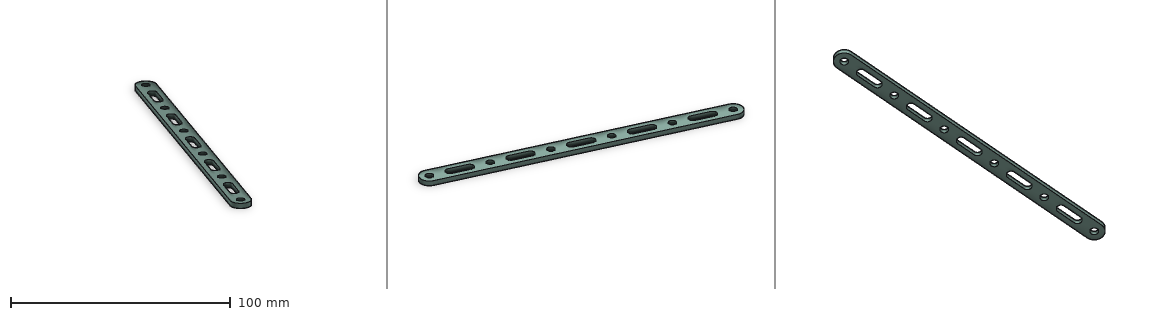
import cadquery as cq

length = 160.0
width = 10.0
thickness = 2.5
hole_diameter = 3.8
hole_count = 6
slot_length = 14.0
slot_width = 4.3

slot_count = hole_count - 1
pitch = (length - width) / slot_count

strap = cq.Workplane("XY").slot2D(length, width).extrude(thickness)

holes = (
    cq.Workplane("XY")
    .rarray(pitch, 1.6, hole_count, 1)
    .circle(hole_diameter / 2)
    .extrude(thickness)
)

slots = (
    cq.Workplane("XY")
    .rarray(pitch, 1.6, slot_count, 1)
    .slot2D(slot_length, slot_width)
    .extrude(thickness)
)

result = strap.cut(holes).cut(slots)